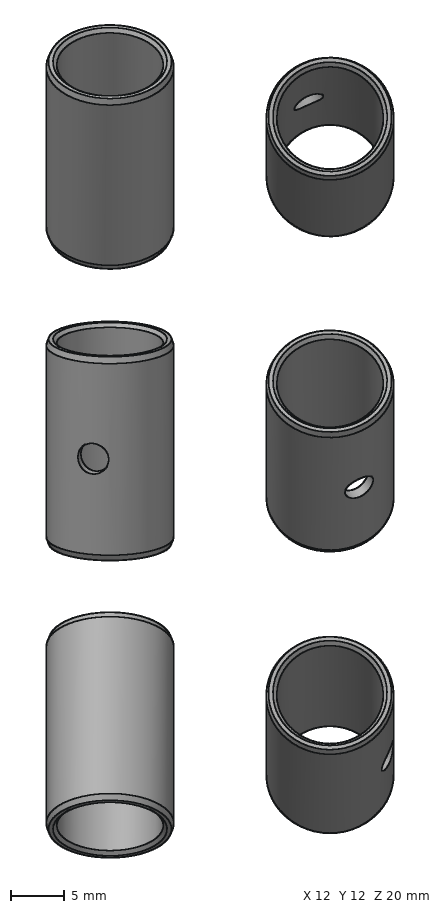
import cadquery as cq

length = 20.0
outer_radius = 6.0
bore_radius = 5.0

outer_chamfer_height = 0.6
outer_chamfer_depth = 0.22
bore_chamfer = 0.35

hole_diameter = 3.0


def sleeve():
    """Revolve the wall section, symmetric about mid-length, around Z."""
    half_length = length / 2
    shoulder_z = half_length - outer_chamfer_height
    rim_outer_radius = outer_radius - outer_chamfer_depth
    rim_inner_radius = bore_radius + bore_chamfer
    bore_edge_z = half_length - bore_chamfer
    section = [
        (outer_radius, -shoulder_z),
        (outer_radius, shoulder_z),
        (rim_outer_radius, half_length),
        (rim_inner_radius, half_length),
        (bore_radius, bore_edge_z),
        (bore_radius, -bore_edge_z),
        (rim_inner_radius, -half_length),
        (rim_outer_radius, -half_length),
    ]
    return cq.Workplane("XZ").polyline(section).close().revolve(360, (0, 0), (0, 1))


def radial_hole():
    """Cutter running from the axis out to the +Y surface at mid-length."""
    return cq.Workplane("XZ").circle(hole_diameter / 2).extrude(-outer_radius)


result = sleeve().cut(radial_hole())